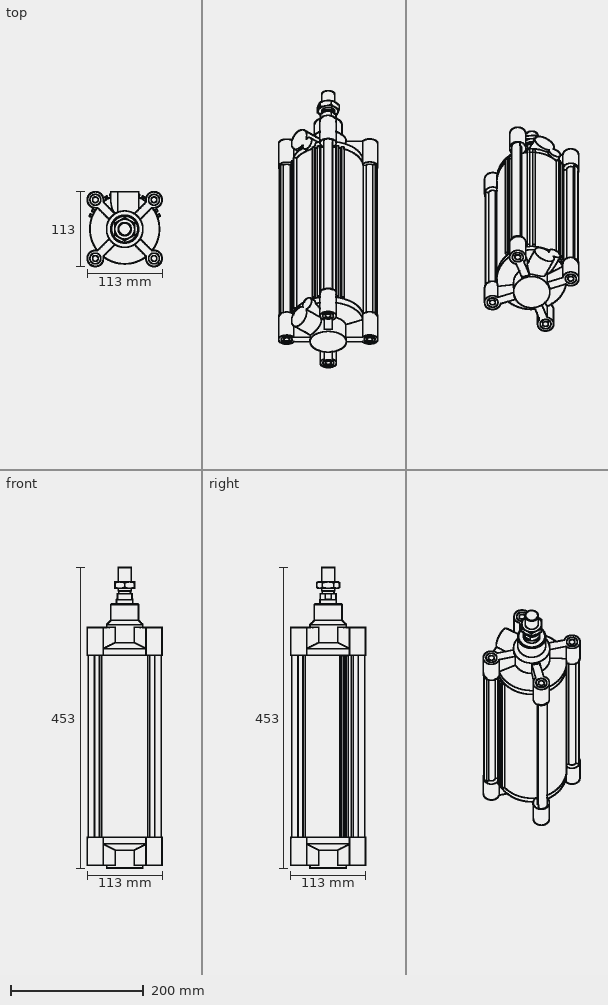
import cadquery as cq
import math


total_height = 453.0
overall_width = 113.0

tie_boss_d = 24.5
tie_offset = (overall_width - tie_boss_d) / 2
cap_height = 42.0
cap_rim_d = 105.0
cap_rim_height = 10.0
cap_cone_height = 9.0
hub_d = 55.0
hub_protrusion = 4.0
web_width = 12.2
nut_seat_d = 16.5
nut_seat_depth = 0.5
tie_hole_d = 8.5
tie_hole_depth = 13.5

port_d = 32.0
port_x = 5.5
port_height = 25.0
screw_housing_d = 19.0
screw_housing_x = -12.0

nose_d = 42.0
nose_cone_height = 6.5
nose_height = 25.0
nose_chamfer = 1.5

barrel_bottom = hub_protrusion + cap_height
barrel_length = 274.0
barrel_top = barrel_bottom + barrel_length
barrel_bore_d = 100.0
barrel_wall = (cap_rim_d - barrel_bore_d) / 2
tie_rod_d = 12.5
ear_web_width = 6.5
ear_shell_d = 22.0
ear_shell_half_angle = 38.0
rail_angles = (26.0, 64.0, 116.0, 154.0)
rail_tip_radius = 56.5
rail_lip_width = 3.5
rail_slot_width = 4.5

rod_d = 25.0
wrench_d = 24.0
wrench_flats = 22.0
thread_d = 20.0
thread_chamfer = 1.0
neck_d = thread_d - 2 * thread_chamfer
collar_top = 403.5
wrench_top = 413.0
flats_bottom = 405.0
neck_top = 416.8

nut_flats = 30.0
hexagon_half_angle = 30.0
nut_corners = nut_flats / math.cos(math.radians(hexagon_half_angle))
nut_bottom = 421.5
nut_height = 9.5
nut_face_d = 30.0
nut_cone_angle = 30.0

tie_radius = math.hypot(tie_offset, tie_offset)
tie_points = [(sx * tie_offset, sy * tie_offset) for sx in (-1, 1) for sy in (-1, 1)]
diagonal_angles = (45, 135, 225, 315)


def cylinder(diameter, height, bottom=0.0):
    return cq.Workplane("XY").workplane(offset=bottom).circle(diameter / 2).extrude(height)


def side_cylinder(diameter, x, z):
    """Cylinder from the Z axis out to the +Y side of the part."""
    return cq.Workplane("XZ").center(x, z).circle(diameter / 2).extrude(-overall_width / 2)


def cap():
    """End cap with its inner face at Z = 0 and its hub pointing to +Z."""
    cone_top = cap_rim_height + cap_cone_height
    body = (
        cq.Workplane("XZ")
        .moveTo(0, 0)
        .lineTo(cap_rim_d / 2, 0)
        .lineTo(cap_rim_d / 2, cap_rim_height)
        .lineTo(hub_d / 2, cone_top)
        .lineTo(hub_d / 2, cap_height + hub_protrusion)
        .lineTo(0, cap_height + hub_protrusion)
        .close()
        .revolve(360, (0, 0, 0), (0, 1, 0))
    )
    web_length = 2 * tie_radius
    for angle in diagonal_angles[:2]:
        web = cq.Workplane("XY").rect(web_length, web_width).extrude(cap_height)
        body = body.union(web.rotate((0, 0, 0), (0, 0, 1), angle))
    bosses = cq.Workplane("XY").pushPoints(tie_points).circle(tie_boss_d / 2).extrude(cap_height)
    body = body.union(bosses)
    body = body.union(side_cylinder(port_d, port_x, port_height))
    body = body.union(side_cylinder(screw_housing_d, screw_housing_x, screw_housing_d / 2))
    boss_faces = cq.Workplane("XY").workplane(offset=cap_height).pushPoints(tie_points)
    return body.cut(boss_faces.circle(nut_seat_d / 2).extrude(-nut_seat_depth)).cut(
        boss_faces.circle(tie_hole_d / 2).extrude(-tie_hole_depth)
    )


def make_rear_cap():
    return cap().mirror("XY").translate((0, 0, barrel_bottom))


def make_front_cap():
    """Cap with a conical shoulder and a nose, bored for the rod."""
    hub_top = cap_height + hub_protrusion
    shoulder_top = hub_top + nose_cone_height
    shoulder = (
        cq.Workplane("XY")
        .workplane(offset=hub_top)
        .circle(hub_d / 2)
        .workplane(offset=nose_cone_height)
        .circle(nose_d / 2)
        .loft()
    )
    nose = cylinder(nose_d, nose_height, shoulder_top).faces(">Z").chamfer(nose_chamfer)
    bore = cylinder(rod_d, shoulder_top + nose_height)
    return cap().union(shoulder).union(nose).cut(bore).translate((0, 0, barrel_top))


def ear():
    """Tie rod on the +X side, joined to the barrel by a web and half covered by an outer shell."""
    rod = cq.Workplane("XY").center(tie_radius, 0).circle(tie_rod_d / 2).extrude(barrel_length)
    web_inner = (barrel_bore_d + barrel_wall) / 2
    web = (
        cq.Workplane("XY")
        .center((web_inner + tie_radius) / 2, 0)
        .rect(tie_radius - web_inner, ear_web_width)
        .extrude(barrel_length)
    )
    radius = ear_shell_d / 2
    edge_x = radius * math.cos(math.radians(ear_shell_half_angle))
    edge_y = radius * math.sin(math.radians(ear_shell_half_angle))
    shell = (
        cq.Workplane("XY")
        .center(tie_radius, 0)
        .lineTo(edge_x, -edge_y)
        .threePointArc((radius, 0), (edge_x, edge_y))
        .close()
        .extrude(barrel_length)
    )
    return rod.union(web).union(shell)


def sensor_rail():
    """Pair of lips on the +X side with a slot between them."""
    root = (barrel_bore_d + barrel_wall) / 2
    return (
        cq.Workplane("XY")
        .center((root + rail_tip_radius) / 2, 0)
        .rarray(4.5, rail_slot_width + rail_lip_width, 1, 2)
        .rect(rail_tip_radius - root, rail_lip_width)
        .extrude(barrel_length)
    )


def make_barrel():
    body = cylinder(cap_rim_d, barrel_length)
    for angle in diagonal_angles:
        body = body.union(ear().rotate((0, 0, 0), (0, 0, 1), angle))
    for angle in rail_angles:
        body = body.union(sensor_rail().rotate((0, 0, 0), (0, 0, 1), angle))
    return body.cut(cylinder(barrel_bore_d, barrel_length)).translate((0, 0, barrel_bottom))


def make_piston_rod():
    """Rod from the inner face of the front cap to the threaded tip."""
    shaft = cylinder(rod_d, collar_top - barrel_top, barrel_top)
    wrench = cylinder(wrench_d, wrench_top - collar_top, collar_top)
    flats = (
        cq.Workplane("XY")
        .workplane(offset=flats_bottom)
        .rarray(wrench_flats + wrench_d, 4.5, 2, 1)
        .rect(wrench_d, wrench_d)
        .extrude(wrench_top - flats_bottom)
    )
    neck = cylinder(neck_d, neck_top - wrench_top, wrench_top)
    thread = cylinder(thread_d, total_height - neck_top, neck_top)
    thread = thread.faces("<Z or >Z").chamfer(thread_chamfer)
    return shaft.union(wrench.cut(flats)).union(neck).union(thread)


def make_nut():
    """Hexagon nut, two flats square to X, corners turned down at both ends."""
    hexagon = (
        cq.Workplane("XY")
        .polygon(6, nut_corners)
        .extrude(nut_height)
        .rotate((0, 0, 0), (0, 0, 1), hexagon_half_angle)
    )
    drop = (nut_corners - nut_face_d) / 2 * math.tan(math.radians(nut_cone_angle))
    turned = (
        cq.Workplane("XZ")
        .moveTo(0, 0)
        .lineTo(nut_face_d / 2, 0)
        .lineTo(nut_corners / 2, drop)
        .lineTo(nut_corners / 2, nut_height - drop)
        .lineTo(nut_face_d / 2, nut_height)
        .lineTo(0, nut_height)
        .close()
        .revolve(360, (0, 0, 0), (0, 1, 0))
    )
    nut = hexagon.intersect(turned).cut(cylinder(thread_d, nut_height))
    return nut.translate((0, 0, nut_bottom))


rear_cap = make_rear_cap()
front_cap = make_front_cap()
barrel = make_barrel()
piston_rod = make_piston_rod()
lock_nut = make_nut()

result = cq.Compound.makeCompound(
    [rear_cap.val(), front_cap.val(), barrel.val(), piston_rod.val(), lock_nut.val()]
)